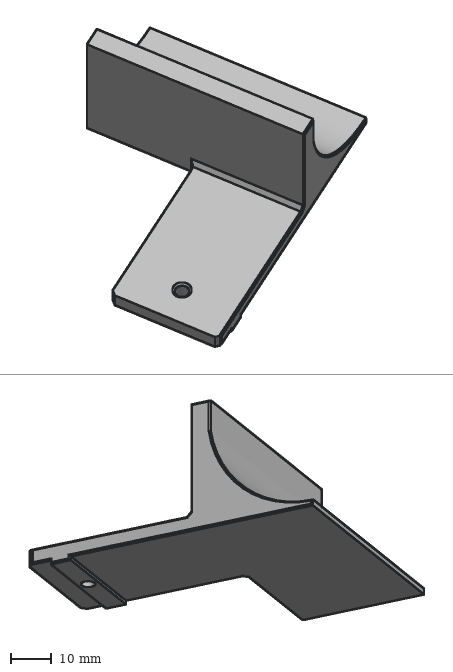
import math

import cadquery as cq

rest_length = 60.0
rest_depth = 33.4
wall_height = 34.0
wall_thickness = 5.3
cradle_radius = 28.4
toe_thickness = 1.6

plate_width = 30.0
plate_length = 45.0
plate_thickness = 4.0
corner_chamfer = 1.2
joint_chamfer = 1.2

key_width = 5.5
key_height = 1.0

end_bevel = 0.4

hole_diameter = 3.5
hole_rim_diameter = 4.7
hole_end_distance = 9.1

plate_left = rest_length - plate_width
plate_center_x = rest_length - plate_width / 2
hole_y = hole_end_distance - plate_length


def make_rest():
    """Wall and toe; the arc starts level at the toe and runs up into the back of the wall."""
    arc_center_z = toe_thickness + cradle_radius
    arc_reach = rest_depth - wall_thickness
    arc_top_z = arc_center_z - math.sqrt(cradle_radius**2 - arc_reach**2)
    middle_angle = math.asin(arc_reach / cradle_radius) / 2
    arc_middle = (
        rest_depth - cradle_radius * math.sin(middle_angle),
        arc_center_z - cradle_radius * math.cos(middle_angle),
    )
    return (
        cq.Workplane("YZ")
        .moveTo(0, 0)
        .lineTo(0, wall_height)
        .lineTo(wall_thickness, wall_height)
        .lineTo(wall_thickness, arc_top_z)
        .threePointArc(arc_middle, (rest_depth, toe_thickness))
        .lineTo(rest_depth, 0)
        .close()
        .extrude(rest_length)
    )


def make_plate():
    return (
        cq.Workplane("XY")
        .box(plate_width, plate_length, plate_thickness, centered=(True, False, False))
        .translate((plate_center_x, -plate_length, 0))
        .edges("|Z and <Y")
        .chamfer(corner_chamfer)
    )


def make_joint_flare():
    """Sloped flare that widens the plate on its top and left where it meets the wall."""
    top_ramp = (
        cq.Workplane("YZ")
        .polyline([
            (0, 0),
            (-joint_chamfer, 0),
            (-joint_chamfer, plate_thickness),
            (0, plate_thickness + joint_chamfer),
        ])
        .close()
        .extrude(plate_width + joint_chamfer)
        .translate((plate_left - joint_chamfer, 0, 0))
    )
    side_ramp = (
        cq.Workplane("XY")
        .polyline([
            (rest_length, 0),
            (plate_left - joint_chamfer, 0),
            (plate_left, -joint_chamfer),
            (rest_length, -joint_chamfer),
        ])
        .close()
        .extrude(plate_thickness + joint_chamfer)
    )
    return top_ramp.intersect(side_ramp)


def make_key():
    return (
        cq.Workplane("XY")
        .box(plate_width, key_width, key_height, centered=(True, True, False))
        .translate((plate_center_x, hole_y, -key_height))
    )


def make_screw_hole():
    """Through hole with a 45 degree countersink at the top of the plate."""
    rim_depth = (hole_rim_diameter - hole_diameter) / 2
    hole_radius = hole_diameter / 2
    return (
        cq.Workplane("XZ")
        .polyline([
            (0, -key_height),
            (hole_radius, -key_height),
            (hole_radius, plate_thickness - rim_depth),
            (hole_rim_diameter / 2, plate_thickness),
            (0, plate_thickness),
        ])
        .close()
        .revolve(360, (0, 0, 0), (0, 1, 0))
        .translate((plate_center_x, hole_y, 0))
    )


def bevel_end(body):
    """Fine bevel all round the flat +X end face."""
    return body.faces(">X").edges().chamfer(end_bevel)


bracket = (
    make_rest()
    .union(make_plate())
    .union(make_joint_flare())
    .union(make_key())
    .cut(make_screw_hole())
)
result = bevel_end(bracket)